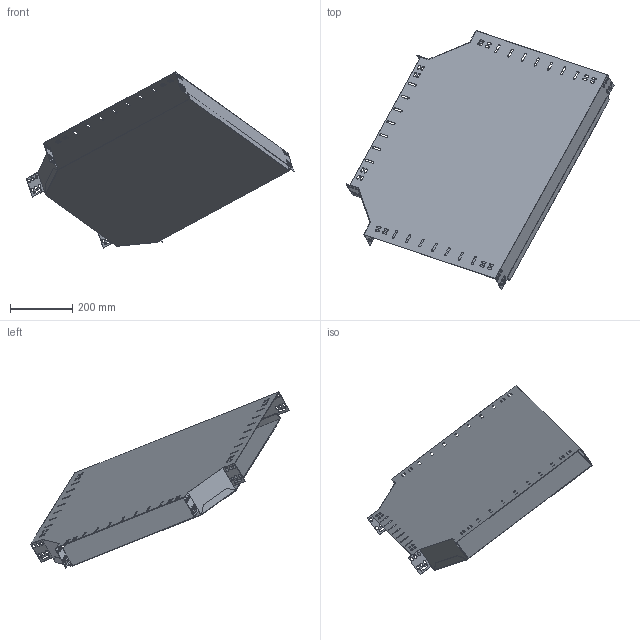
import cadquery as cq
import math


SHEET = 1.5
ARM_WIDTH = 501.0
BRANCH_WIDTH = 500.0
CORNER_CUT = 100.5
TAB_LENGTH = 45.0
TAB_HEIGHT = 71.0
BACK_WALL_HEIGHT = 66.0
HEIGHT = 88.0
BRANCH_FLOOR_LENGTH = 30.0
LIP_HEIGHT = 23.5
LIP_END_ANGLE = 45.0

BRANCH_HALF = BRANCH_WIDTH / 2
BODY_HALF = BRANCH_HALF + CORNER_CUT
ARM_END = BODY_HALF + TAB_LENGTH
BRANCH_START = ARM_WIDTH + CORNER_CUT
BRANCH_END = BRANCH_START + TAB_LENGTH
BRANCH_FLOOR_END = BRANCH_START + BRANCH_FLOOR_LENGTH
LID_TOP = HEIGHT - SHEET

SLOT_LENGTH = 30.0
SLOT_WIDTH = 7.0
SLOT_PITCH = 50.0
SLOT_COUNT = 7
SLOT_FROM_TAB_END = 35.5
SHORT_SLOT_LENGTH = 15.0
SHORT_SLOT_PLACES = (185.5, 213.5)
SHORT_SLOT_SPACING = 12.5
SHORT_SLOT_SHIFT = 1.75

TAB_HOLE_WIDTH = 8.0
TAB_HOLE_LENGTH = 12.0
TAB_HOLE_PITCH = 14.0
TAB_HOLE_SHIFT = 1.2
TAB_HOLE_ROWS = (12.0, 47.5)
TAB_SLOT_LENGTH = 28.0
TAB_SLOT_WIDTH = 6.5
TAB_SLOT_DEPTH = 61.0

TURN_Y = -18.93
TURN_X = -29.01
TURN_Z = -18.97


def tee_outline(inset):
    """Outline of the tray walls, moved inward by the inset but still reaching the open ends."""
    corner = inset * math.tan(math.radians(22.5))
    half = [
        (-inset, ARM_END),
        (-ARM_WIDTH + inset, ARM_END),
        (-ARM_WIDTH + inset, BODY_HALF - corner),
        (-BRANCH_START + corner, BRANCH_HALF - inset),
        (-BRANCH_END, BRANCH_HALF - inset),
    ]
    return half + [(x, -y) for x, y in reversed(half)]


def block(x_range, y_range, z_range):
    """Box between the given limits."""
    sizes = [high - low for low, high in (x_range, y_range, z_range)]
    corner = (x_range[0], y_range[0], z_range[0])
    return cq.Workplane("XY").box(*sizes, centered=False).translate(corner)


def folded_sheet():
    """Floor with its walls, tabs at the open ends and the back wall stopping short of the lid."""
    tray = cq.Workplane("XY").polyline(tee_outline(0)).close().extrude(-LID_TOP)
    inside = cq.Workplane("XY").polyline(tee_outline(SHEET)).close().extrude(SHEET - LID_TOP)
    tray = tray.cut(inside.translate((0, 0, -SHEET)))

    below_tabs = (-HEIGHT, -TAB_HEIGHT)
    for side in (1, -1):
        arm_y = sorted((side * BODY_HALF, side * ARM_END))
        tray = tray.cut(block((-ARM_WIDTH, 0), arm_y, below_tabs))
    branch_y = (-BRANCH_HALF, BRANCH_HALF)
    tray = tray.cut(block((-BRANCH_END, -BRANCH_START), branch_y, below_tabs))
    tray = tray.cut(block((-SHEET, 0), (-BODY_HALF, BODY_HALF), (-HEIGHT, -BACK_WALL_HEIGHT)))

    inner_half = BRANCH_HALF - SHEET
    return tray.cut(block((-BRANCH_END, -BRANCH_FLOOR_END), (-inner_half, inner_half), (-SHEET, 0)))


def end_slots():
    """Cutters for one row of floor slots along y, with the open end on the -x side."""
    first = -(SLOT_COUNT - 1) / 2 * SLOT_PITCH
    long_places = [(0, first + i * SLOT_PITCH) for i in range(SLOT_COUNT)]
    short_places = [
        (row * SHORT_SLOT_SPACING / 2 - SHORT_SLOT_SHIFT, side * place)
        for row in (1, -1)
        for side in (1, -1)
        for place in SHORT_SLOT_PLACES
    ]
    slots = cq.Workplane("XY").pushPoints(long_places).slot2D(SLOT_LENGTH, SLOT_WIDTH)
    slots = slots.extrude(SHEET, both=True)
    short = cq.Workplane("XY").pushPoints(short_places).slot2D(SHORT_SLOT_LENGTH, SLOT_WIDTH, 90)
    return slots.union(short.extrude(SHEET, both=True))


def tab_holes():
    """Cutters for a pair of facing tabs in XZ planes, centred on the tabs, with their free end at -x."""
    reach = ARM_WIDTH
    places = [(i * TAB_HOLE_PITCH - TAB_HOLE_SHIFT, -row) for i in (-1, 0, 1) for row in TAB_HOLE_ROWS]
    holes = cq.Workplane("XZ").pushPoints(places).slot2D(TAB_HOLE_LENGTH, TAB_HOLE_WIDTH, 90)
    holes = holes.extrude(reach, both=True)
    slot = cq.Workplane("XZ").center(0, -TAB_SLOT_DEPTH).slot2D(TAB_SLOT_LENGTH, TAB_SLOT_WIDTH)
    return holes.union(slot.extrude(reach, both=True))


def make_tray():
    """Tray body with all its perforation."""
    tray = folded_sheet()
    slots = end_slots().translate((SLOT_FROM_TAB_END, 0, 0))
    holes = tab_holes().translate((TAB_LENGTH / 2, 0, 0))
    perforation = slots.union(holes)
    tray = tray.cut(perforation.translate((-BRANCH_END, 0, 0)))
    for side in (1, -1):
        arm_perforation = perforation.rotate((0, 0, 0), (0, 0, 1), -90 * side)
        tray = tray.cut(arm_perforation.translate((-ARM_WIDTH / 2, side * ARM_END, 0)))
    return tray


def corner_lip(side):
    """Lip outside a corner wall, narrowing from the lid to its free edge."""
    length = CORNER_CUT * math.sqrt(2)
    narrowing = LIP_HEIGHT / math.tan(math.radians(LIP_END_ANGLE))
    profile = [
        (-length / 2, 0),
        (length / 2, 0),
        (length / 2 - narrowing, LIP_HEIGHT),
        (-length / 2 + narrowing, LIP_HEIGHT),
    ]
    lip = cq.Workplane("XZ").polyline(profile).close().extrude(-SHEET)
    lip = lip.rotate((0, 0, 0), (0, 0, 1), 45)
    lip = lip.translate((-ARM_WIDTH - CORNER_CUT / 2, BRANCH_HALF + CORNER_CUT / 2, -HEIGHT))
    return lip if side > 0 else lip.mirror("XZ")


def make_lid():
    """Lid plate with one lip outside the back wall and one outside each corner wall."""
    half = [(0, BODY_HALF), (-ARM_WIDTH, BODY_HALF), (-BRANCH_START, BRANCH_HALF)]
    outline = half + [(x, -y) for x, y in reversed(half)]
    lid = cq.Workplane("XY").workplane(offset=-HEIGHT).polyline(outline).close().extrude(SHEET)
    lid = lid.union(block((0, SHEET), (-BODY_HALF, BODY_HALF), (-HEIGHT, LIP_HEIGHT - HEIGHT)))
    for side in (1, -1):
        lid = lid.union(corner_lip(side))
    return lid


def turned(body):
    """Body turned from its own axes into its final position."""
    body = body.rotate((0, 0, 0), (0, 0, 1), TURN_Z)
    body = body.rotate((0, 0, 0), (1, 0, 0), TURN_X)
    return body.rotate((0, 0, 0), (0, 1, 0), TURN_Y)


tray = turned(make_tray())
lid = turned(make_lid())
result = cq.Compound.makeCompound([tray.val(), lid.val()])